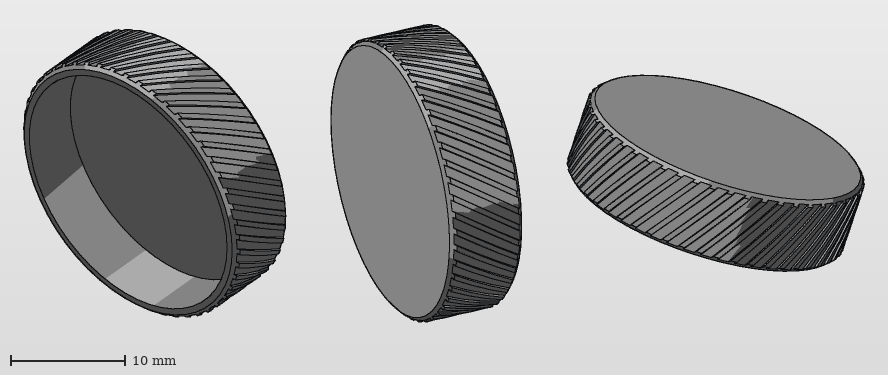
import cadquery as cq
import math

OUTER_DIAMETER = 25.4
WIDTH = 7.0
BORE_DIAMETER = 23.2
BORE_DEPTH = 5.4
EDGE_CHAMFER = 0.5

RIB_COUNT = 50
GROOVE_DEPTH = 0.2
RIB_SHARE = 0.36
TWIST_IN_PITCHES = 3
FIRST_RIB_ANGLE = 0.5

OUTER_RADIUS = OUTER_DIAMETER / 2
GROOVE_RADIUS = OUTER_RADIUS - GROOVE_DEPTH
PITCH_ANGLE = 360 / RIB_COUNT
TWIST_ANGLE = TWIST_IN_PITCHES * PITCH_ANGLE


def polar(radius, angle):
    """Point on a circle about the axis, angle in degrees."""
    return (radius * math.cos(math.radians(angle)), radius * math.sin(math.radians(angle)))


def make_knurled_cylinder():
    """Ribbed profile twisted from the closed end (Y = 0) to the open end (Y = -WIDTH)."""
    rib_angle = RIB_SHARE * PITCH_ANGLE
    first_start = FIRST_RIB_ANGLE - rib_angle / 2
    profile = cq.Workplane("XZ").moveTo(*polar(GROOVE_RADIUS, first_start))
    for rib in range(RIB_COUNT):
        rib_start = first_start + rib * PITCH_ANGLE
        rib_end = rib_start + rib_angle
        next_start = rib_start + PITCH_ANGLE
        profile = profile.lineTo(*polar(OUTER_RADIUS, rib_start))
        profile = profile.threePointArc(
            polar(OUTER_RADIUS, (rib_start + rib_end) / 2),
            polar(OUTER_RADIUS, rib_end),
        )
        profile = profile.lineTo(*polar(GROOVE_RADIUS, rib_end))
        profile = profile.threePointArc(
            polar(GROOVE_RADIUS, (rib_end + next_start) / 2),
            polar(GROOVE_RADIUS, next_start),
        )
    return profile.close().twistExtrude(WIDTH, TWIST_ANGLE)


def make_chamfered_envelope():
    """Plain cylinder, slightly larger than the knurl, whose chamfers bevel both ends of the ribs."""
    margin = EDGE_CHAMFER / 2
    return (
        cq.Workplane("XZ")
        .circle(OUTER_RADIUS + margin)
        .extrude(WIDTH)
        .edges("%CIRCLE")
        .chamfer(EDGE_CHAMFER + margin)
    )


def make_bore():
    """Blind round recess entering from the open end."""
    floor_offset = WIDTH - BORE_DEPTH
    return (
        cq.Workplane("XZ", origin=(0, -floor_offset, 0))
        .circle(BORE_DIAMETER / 2)
        .extrude(BORE_DEPTH)
    )


result = make_knurled_cylinder().intersect(make_chamfered_envelope()).cut(make_bore())